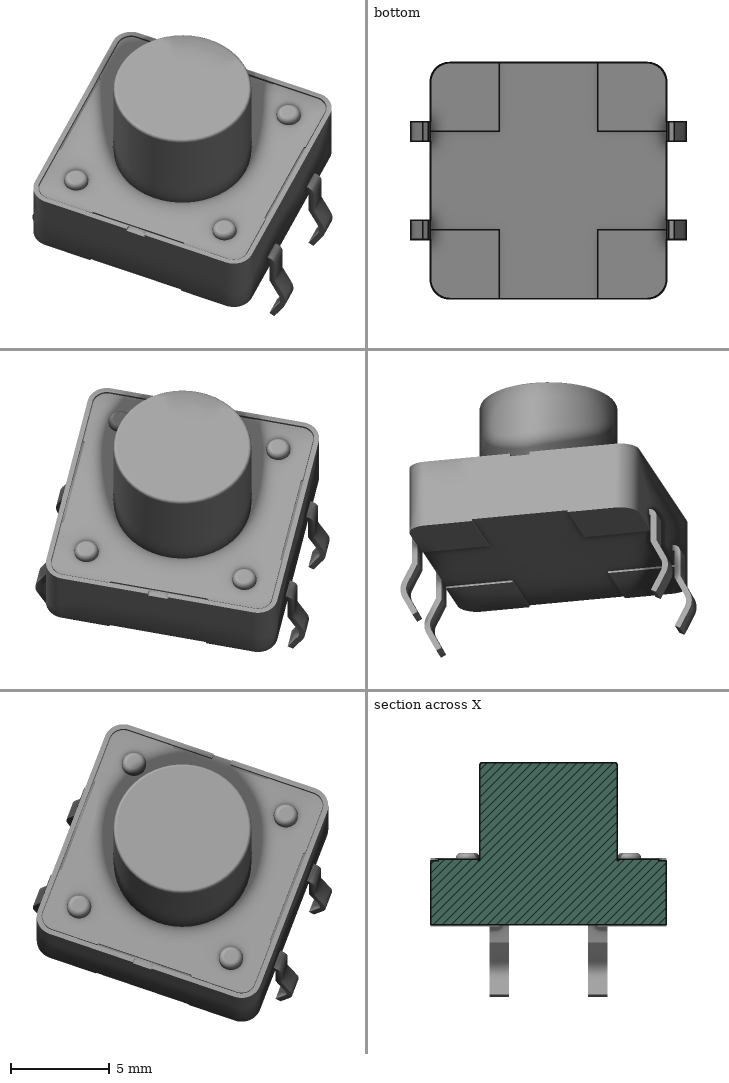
import cadquery as cq
import math

HOUSING_SIZE = 12.0
HOUSING_HEIGHT = 3.5
HOUSING_CORNER_RADIUS = 1.0
CHANNEL_WIDTH = 5.0
CHANNEL_DEPTH = 0.1

RIM_WIDTH = 0.25
RIM_DEPTH = 0.15
RIM_NOTCH_WIDTH = 1.0

COVER_MARGIN = 0.3
COVER_DROP = 0.05
RELIEF_LENGTH = 5.0
RELIEF_DEPTH = 0.08

BUTTON_DIAMETER = 7.0
BUTTON_HOLE_DIAMETER = 7.1
BUTTON_TOP = 8.35
BUTTON_EDGE_RADIUS = 0.15

RIVET_DIAMETER = 1.2
RIVET_HOLE_DIAMETER = 1.24
RIVET_OFFSET = 4.1
RIVET_HEIGHT = 0.3
RIVET_EDGE_RADIUS = 0.25

LEG_WIDTH = 1.0
LEG_THICKNESS = 0.3
LEG_OFFSET = 2.5
LEG_TOP = 1.0
LEG_BOTTOM = -3.57
LEG_EMBED = 0.5
LEG_SHOULDER_RADIUS = 0.4
LEG_REACH = 7.0
LEG_BEND_RADIUS = 1.0
LEG_BEND_Z = -2.12
LEG_TILT = math.radians(27.5)

FLOOR_Z = HOUSING_HEIGHT - RIM_DEPTH
COVER_Z = HOUSING_HEIGHT - COVER_DROP
COVER_THICKNESS = COVER_Z - FLOOR_Z
HALF_HOUSING = HOUSING_SIZE / 2
COVER_HALF = HALF_HOUSING - COVER_MARGIN
RIVET_POINTS = [(x, y) for x in (-RIVET_OFFSET, RIVET_OFFSET) for y in (-RIVET_OFFSET, RIVET_OFFSET)]


def rounded_square(margin, bottom, height):
    """Block set in from the housing sides, with corners concentric to the housing corners."""
    side = HOUSING_SIZE - 2 * margin
    block = cq.Workplane("XY").workplane(offset=bottom).rect(side, side).extrude(height)
    return block.edges("|Z").fillet(HOUSING_CORNER_RADIUS - margin)


def box_from(bottom, size_x, size_y, height):
    """Box centred on the Z axis, starting at the given height."""
    return cq.Workplane("XY").workplane(offset=bottom).rect(size_x, size_y).extrude(height)


def make_housing():
    housing = rounded_square(0, 0, HOUSING_HEIGHT)
    housing = housing.cut(rounded_square(RIM_WIDTH, FLOOR_Z, RIM_DEPTH))
    housing = housing.cut(box_from(FLOOR_Z, RIM_NOTCH_WIDTH, HOUSING_SIZE, RIM_DEPTH))
    housing = housing.cut(box_from(0, CHANNEL_WIDTH, HOUSING_SIZE, CHANNEL_DEPTH))
    return housing.cut(box_from(0, HOUSING_SIZE, CHANNEL_WIDTH, CHANNEL_DEPTH))


def make_edge_relief():
    """Shallow trapezoid with 45 degree ends at the +X edge of the cover plate."""
    inner_x = COVER_HALF - RELIEF_DEPTH
    inner_y = RELIEF_LENGTH / 2
    outer_y = inner_y + RELIEF_DEPTH
    outline = [(inner_x, -inner_y), (COVER_HALF, -outer_y), (COVER_HALF, outer_y), (inner_x, inner_y)]
    return cq.Workplane("XY").workplane(offset=FLOOR_Z).polyline(outline).close().extrude(COVER_THICKNESS)


def make_cover():
    cover = rounded_square(COVER_MARGIN, FLOOR_Z, COVER_THICKNESS)
    relief = make_edge_relief()
    for quarter_turn in range(4):
        cover = cover.cut(relief.rotate((0, 0, 0), (0, 0, 1), 90 * quarter_turn))
    holes = cq.Workplane("XY").workplane(offset=FLOOR_Z)
    cover = cover.cut(holes.circle(BUTTON_HOLE_DIAMETER / 2).extrude(COVER_THICKNESS))
    return cover.cut(holes.pushPoints(RIVET_POINTS).circle(RIVET_HOLE_DIAMETER / 2).extrude(COVER_THICKNESS))


def make_button():
    button = cq.Workplane("XY").workplane(offset=FLOOR_Z).circle(BUTTON_DIAMETER / 2)
    return button.extrude(BUTTON_TOP - FLOOR_Z).faces(">Z").edges().fillet(BUTTON_EDGE_RADIUS)


def make_rivets():
    rivets = cq.Workplane("XY").workplane(offset=FLOOR_Z).pushPoints(RIVET_POINTS).circle(RIVET_DIAMETER / 2)
    return rivets.extrude(COVER_THICKNESS + RIVET_HEIGHT).faces(">Z").edges().fillet(RIVET_EDGE_RADIUS)


def on_circle(center, radius, angle):
    """Point (x, z) on a circle, with the angle measured from +X."""
    return (center[0] + radius * math.cos(angle), center[1] + radius * math.sin(angle))


def make_leg():
    """Leg on the +X side at y = 0: out of the housing, down, and through the snap bend."""
    root_x = HALF_HOUSING - LEG_EMBED
    shoulder = (HALF_HOUSING, LEG_TOP - LEG_SHOULDER_RADIUS)
    shoulder_inner = LEG_SHOULDER_RADIUS - LEG_THICKNESS
    shoulder_outer_mid = on_circle(shoulder, LEG_SHOULDER_RADIUS, math.pi / 4)
    shoulder_inner_mid = on_circle(shoulder, shoulder_inner, math.pi / 4)
    underside_z = LEG_TOP - LEG_THICKNESS
    bend = (LEG_REACH - LEG_BEND_RADIUS, LEG_BEND_Z)
    bend_inner = LEG_BEND_RADIUS - LEG_THICKNESS

    outer_upper = on_circle(bend, LEG_BEND_RADIUS, LEG_TILT)
    outer_lower = on_circle(bend, LEG_BEND_RADIUS, -LEG_TILT)
    inner_upper = on_circle(bend, bend_inner, LEG_TILT)
    inner_lower = on_circle(bend, bend_inner, -LEG_TILT)

    drop_outer_x = shoulder[0] + LEG_SHOULDER_RADIUS
    drop_inner_x = shoulder[0] + shoulder_inner
    kink_outer = (drop_outer_x, outer_upper[1] + (outer_upper[0] - drop_outer_x) / math.tan(LEG_TILT))
    kink_inner = (drop_inner_x, inner_upper[1] + (inner_upper[0] - drop_inner_x) / math.tan(LEG_TILT))

    tip_length = (outer_lower[1] - LEG_BOTTOM) / math.cos(LEG_TILT)
    tip_x = tip_length * math.sin(LEG_TILT)
    tip_outer = (outer_lower[0] - tip_x, LEG_BOTTOM)
    tip_inner = (inner_lower[0] - tip_x, LEG_BOTTOM + LEG_THICKNESS * math.sin(LEG_TILT))

    profile = (
        cq.Workplane("XZ")
        .moveTo(root_x, LEG_TOP)
        .lineTo(shoulder[0], LEG_TOP)
        .threePointArc(shoulder_outer_mid, (drop_outer_x, shoulder[1]))
        .lineTo(*kink_outer)
        .lineTo(*outer_upper)
        .threePointArc((LEG_REACH, LEG_BEND_Z), outer_lower)
        .lineTo(*tip_outer)
        .lineTo(*tip_inner)
        .lineTo(*inner_lower)
        .threePointArc((LEG_REACH - LEG_THICKNESS, LEG_BEND_Z), inner_upper)
        .lineTo(*kink_inner)
        .lineTo(drop_inner_x, shoulder[1])
        .threePointArc(shoulder_inner_mid, (shoulder[0], underside_z))
        .lineTo(root_x, underside_z)
        .close()
    )
    return profile.extrude(LEG_WIDTH / 2, both=True)


result = make_housing().union(make_cover()).union(make_button()).union(make_rivets())

right_leg = make_leg()
left_leg = right_leg.mirror("YZ")
for leg_y in (-LEG_OFFSET, LEG_OFFSET):
    result = result.union(right_leg.translate((0, leg_y, 0)))
    result = result.union(left_leg.translate((0, leg_y, 0)))